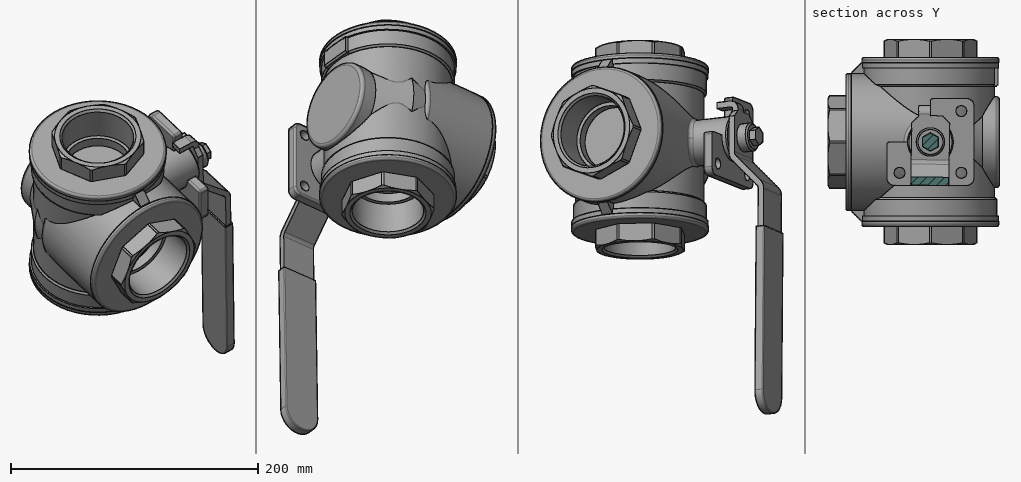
import cadquery as cq
import math


port_reach = 83.0
cap_face = 68.5
cap_joint = 64.0
cap_radius = 55.5
cap_round = 2.0
seam_chamfer = 0.3
octagon_flats = 70.0
octagon_corner_radius = 37.5
octagon_chamfer_radius = octagon_flats / 2
octagon_chamfer_length = 1.4
thread_radius = 29.0
thread_mouth_radius = 30.8
thread_depth = 29.0
bore_radius = 26.0
bore_depth = 37.6

body_radius = 52.0
collar_radius = 53.8
collar_bottom = 45.0
collar_chamfer = 1.5
rim_radius = cap_radius - seam_chamfer
rim_bottom = 60.0
pad_width = 27.4
pad_reach = 54.8

branch_start = -3.0
branch_round = 3.0
neck_radius = 52.5
neck_start = -15.0
boss_radius = 37.0
boss_inner_end = -42.0
boss_reach = 56.0
boss_round = 3.0
rib_width = 9.0
rib_diagonal = 120.0

stem_radius = 18.5
stem_top = 89.5
stem_chamfer = 1.0
stem_root_round = 3.0
plate_size = 70.4
plate_bottom = 76.8
plate_top = 85.0
plate_corner_radius = 6.0
opening_corner_radius = 2.0
plate_edge_round = 1.8
plate_hole_radius = 4.4
plate_hole_offset = 25.0
nut_radius = 11.5
nut_top = 104.2
nut_chamfer = 1.4
bolt_top = 109.4
bolt_flats = 13.0

handle_tilt = 0.9
strip_thickness = 5.0
strip_width = 30.8
head_bottom = 90.0
head_top = 21.3
head_chamfer = 6.0
upper_bend = -16.5
bend_radius = 5.0
tab_width = 9.5
tab_left = 0.4
tab_top = 29.4
tab_end = 75.7
tab_bend_radius = 7.0
grip_outer = 123.53
grip_thickness = 7.8
grip_radius = 16.5
grip_top = -79.0
grip_lowest = -231.44
grip_edge_round = 0.8

strip_outer = grip_outer - (grip_thickness - strip_thickness) / 2


def disc(radius, bottom, top):
    """Upright cylinder on the Z axis between two heights."""
    return cq.Workplane("XY").workplane(offset=bottom).circle(radius).extrude(top - bottom)


def to_branch(shape):
    """Turn a shape built along +Z so that it points along +X."""
    return shape.rotate((0, 0, 0), (0, 1, 0), 90)


def to_bottom(shape):
    """Turn a shape built along +Z so that it points along -Z."""
    return shape.rotate((0, 0, 0), (1, 0, 0), 180)


def to_stem(shape):
    """Turn a shape built along +Z so that it points along +Y."""
    return shape.rotate((0, 0, 0), (1, 0, 0), -90)


def end_cap():
    """Round cap with a chamfered octagon that has its corners on the axes."""
    flange = (
        disc(cap_radius, cap_joint, cap_face)
        .faces(">Z").edges().fillet(cap_round)
        .faces("<Z").edges().chamfer(seam_chamfer)
    )
    corner_diameter = octagon_flats / math.cos(math.pi / 8)
    octagon = (
        cq.Workplane("XY").workplane(offset=cap_joint)
        .polygon(8, corner_diameter).extrude(port_reach - cap_joint)
    )
    envelope = disc(octagon_corner_radius, cap_joint, port_reach).faces(">Z").chamfer(
        octagon_chamfer_length, octagon_corner_radius - octagon_chamfer_radius
    )
    return flange.union(octagon.intersect(envelope))


def port_bore():
    """Threaded mouth with a lead-in chamfer, stepping down to a blind bore."""
    lead_in = thread_mouth_radius - thread_radius
    return (
        cq.Workplane("XZ")
        .moveTo(0, port_reach)
        .lineTo(thread_mouth_radius, port_reach)
        .lineTo(thread_radius, port_reach - lead_in)
        .lineTo(thread_radius, port_reach - thread_depth)
        .lineTo(bore_radius, port_reach - thread_depth)
        .lineTo(bore_radius, port_reach - bore_depth)
        .lineTo(0, port_reach - bore_depth)
        .close()
        .revolve(360, (0, 0, 0), (0, 1, 0))
    )


def body_half():
    """Upper half of the main body with its collar and rim."""
    collar = disc(collar_radius, collar_bottom, rim_bottom).faces("<Z").edges().chamfer(collar_chamfer)
    return disc(body_radius, 0, cap_joint).union(collar).union(disc(rim_radius, rim_bottom, cap_joint))


def collar_pad():
    """Flat raised pad on the -X side of the upper collar."""
    pad_height = rim_bottom - collar_bottom
    return (
        cq.Workplane("XY", origin=(-pad_reach, 0, collar_bottom))
        .box(pad_reach, pad_width, pad_height, centered=(False, True, False))
        .edges("<X and <Z").chamfer(collar_chamfer)
    )


def branch():
    """Branch barrel towards +X, with the narrower neck behind it."""
    barrel = disc(cap_radius, branch_start, cap_joint).faces("<Z").edges().fillet(branch_round)
    return to_branch(barrel.union(disc(neck_radius, neck_start, 0)))


def boss():
    """Blind boss on -X, flaring out to the neck of the branch."""
    barrel = disc(boss_radius, -boss_reach, boss_inner_end).faces("<Z").edges().fillet(boss_round)
    flare_length = neck_start - boss_inner_end
    flare = cq.Workplane("XY").add(
        cq.Solid.makeCone(boss_radius, neck_radius, flare_length, cq.Vector(0, 0, boss_inner_end))
    )
    return to_branch(barrel.union(flare))


def rib(side):
    """Sloping web between the branch flange and the upper (+1) or lower (-1) flange."""
    far_end = cap_joint
    near_end = rib_diagonal - far_end
    profile = [
        (0, 0),
        (far_end, 0),
        (far_end, side * near_end),
        (near_end, side * far_end),
        (0, side * far_end),
    ]
    return cq.Workplane("XZ").polyline(profile).close().extrude(rib_width / 2, both=True)


def stem():
    """Stem housing on +Y."""
    return to_stem(disc(stem_radius, 0, stem_top).faces(">Z").edges().chamfer(stem_chamfer))


def branch_with_stem():
    """Branch and stem joined with a rounded root where they meet."""
    near_corner = (-stem_radius, body_radius / 2, -stem_radius)
    far_corner = (stem_radius, cap_radius, stem_radius)
    meeting_edges = cq.selectors.BoxSelector(near_corner, far_corner)
    return branch().union(stem()).edges(meeting_edges).fillet(stem_root_round)


def mounting_plate():
    """Square plate round the stem; its +X +Z quarter is open for the handle stop tab."""
    half = plate_size / 2
    plate = (
        cq.Workplane("XZ", origin=(0, plate_bottom, 0))
        .rect(plate_size, plate_size).extrude(plate_bottom - plate_top)
        .edges("|Y").fillet(plate_corner_radius)
    )
    opening = cq.Workplane("XY").box(half, plate_top, half, centered=False)
    holes = (
        cq.Workplane("XZ")
        .rect(2 * plate_hole_offset, 2 * plate_hole_offset, forConstruction=True).vertices()
        .circle(plate_hole_radius).extrude(-plate_top)
    )
    plate = plate.cut(opening)
    for opening_corner in ((0, plate_top, half), (half, plate_top, 0)):
        corner_edge = cq.NearestToPointSelector(opening_corner)
        plate = plate.edges("|Y").edges(corner_edge).fillet(opening_corner_radius)
    return plate.faces("<Y").edges().fillet(plate_edge_round).cut(holes)


def handle_fastener():
    """Round nut and hexagon bolt head on top of the handle."""
    nut = disc(nut_radius, stem_top, nut_top).faces(">Z").edges().chamfer(nut_chamfer)
    bolt = (
        cq.Workplane("XY").workplane(offset=nut_top)
        .polygon(6, bolt_flats / math.cos(math.pi / 6)).extrude(bolt_top - nut_top)
        .rotate((0, 0, 0), (0, 0, 1), 90)
    )
    return to_stem(nut.union(bolt))


def handle_strip():
    """Flat strip with a double 45 degree bend and a head with two clipped corners."""
    head_outer = head_bottom + strip_thickness
    strip_inner = strip_outer - strip_thickness
    bend_shift = strip_thickness * math.tan(math.pi / 8)
    lower_bend = upper_bend - (strip_outer - head_outer)
    profile = [
        (head_bottom, head_top),
        (head_outer, head_top),
        (head_outer, upper_bend),
        (strip_outer, lower_bend),
        (strip_outer, grip_top),
        (strip_inner, grip_top),
        (strip_inner, lower_bend - bend_shift),
        (head_bottom, upper_bend - bend_shift),
    ]
    strip = cq.Workplane("YZ").polyline(profile).close().extrude(strip_width / 2, both=True)
    hollow_sides = [profile[2], profile[6]]
    round_sides = [profile[3], profile[7]]
    for corners, radius in ((hollow_sides, bend_radius), (round_sides, bend_radius + strip_thickness)):
        for y, z in corners:
            strip = strip.edges(cq.NearestToPointSelector((0, y, z))).fillet(radius)
    return strip.edges("|Y and >Z").chamfer(head_chamfer)


def stop_tab():
    """Tab bent back from the head of the strip into the open quarter of the plate."""
    head_outer = head_bottom + strip_thickness
    inner_bend = tab_bend_radius - strip_thickness
    middle = math.sqrt(0.5)
    centre_y = head_outer - tab_bend_radius
    centre_z = tab_top - tab_bend_radius

    def bend_middle(radius):
        return (centre_y + radius * middle, centre_z + radius * middle)

    return (
        cq.Workplane("YZ", origin=(tab_left, 0, 0))
        .moveTo(head_outer, 0)
        .lineTo(head_outer, centre_z)
        .threePointArc(bend_middle(tab_bend_radius), (centre_y, tab_top))
        .lineTo(tab_end, tab_top)
        .lineTo(tab_end, tab_top - strip_thickness)
        .lineTo(centre_y, tab_top - strip_thickness)
        .threePointArc(bend_middle(inner_bend), (head_bottom, centre_z))
        .lineTo(head_bottom, 0)
        .close()
        .extrude(tab_width)
    )


def grip():
    """Thicker sleeve round the lower strip with a half-round end."""
    arc_centre = (grip_lowest + grip_radius) / math.cos(math.radians(handle_tilt))
    return (
        cq.Workplane("XZ", origin=(0, grip_outer, 0))
        .moveTo(-grip_radius, grip_top)
        .lineTo(grip_radius, grip_top)
        .lineTo(grip_radius, arc_centre)
        .threePointArc((0, arc_centre - grip_radius), (-grip_radius, arc_centre))
        .close()
        .extrude(grip_thickness)
        .faces("<Y or >Y").edges("not >Z").fillet(grip_edge_round)
    )


def handle():
    """Complete lever, turned slightly about the stem axis."""
    lever = handle_strip().union(stop_tab()).union(grip())
    return lever.rotate((0, 0, 0), (0, 1, 0), -handle_tilt)


upper_half = body_half().union(end_cap())
valve = upper_half.union(to_bottom(upper_half)).union(collar_pad())
valve = valve.union(branch_with_stem()).union(to_branch(end_cap())).union(boss())
valve = valve.union(rib(1)).union(rib(-1))
valve = valve.union(mounting_plate()).union(handle()).union(handle_fastener())
valve = valve.cut(port_bore()).cut(to_bottom(port_bore())).cut(to_branch(port_bore()))

result = valve